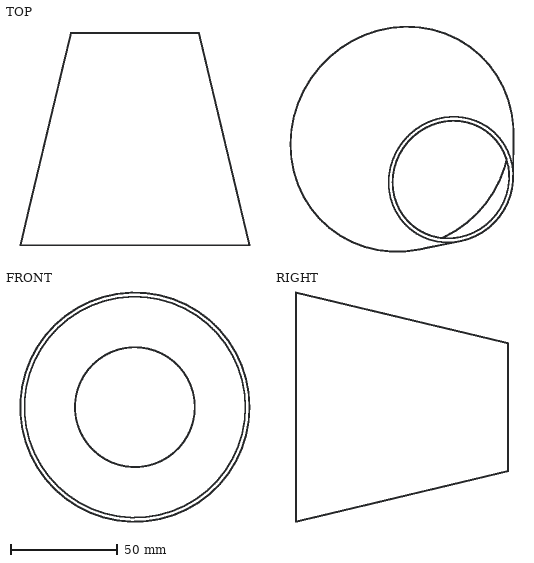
import cadquery as cq

length = 100.0
large_diameter = 108.0
small_diameter = 60.3
wall = 2.0

large_radius = large_diameter / 2
small_radius = small_diameter / 2


def conical_shell():
    """Revolve the sloping wall section about the Y axis, large end at Y = 0."""
    wall_section = [
        (large_radius - wall, 0),
        (large_radius, 0),
        (small_radius, length),
        (small_radius - wall, length),
    ]
    return (
        cq.Workplane("XY")
        .polyline(wall_section)
        .close()
        .revolve(360, (0, 0, 0), (0, 1, 0))
    )


result = conical_shell()